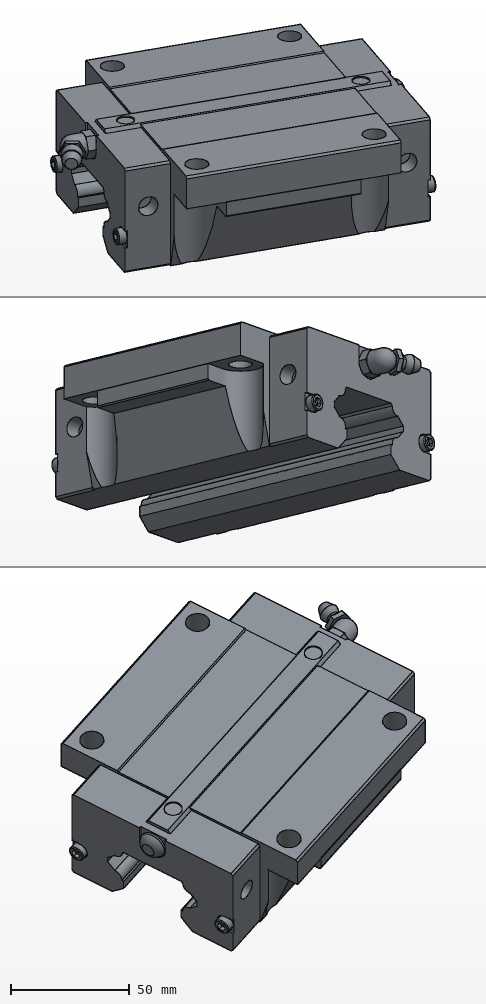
import cadquery as cq
import math


width = 120.0
height = 50.5
block_length = 96.7
cap_length = 128.9
seal_length = 137.5
cap_width = 81.7
cap_height = 48.9

flange_bottom = 35.5
pad_bottom = 28.2
pad_inset = 0.3
pad_edge_chamfer = 0.6
skirt_top_width = 97.2
skirt_bottom_width = 82.0
edge_chamfer = 1.0
bolt_spacing_x = 100.0
bolt_spacing_y = 80.0
bolt_hole_diameter = 10.1
bolt_relief_radius = 9.6

trough_depth = 0.5
trough_half_width = 31.5
trough_slope_run = 0.6
ridge_top_width = 9.8
ridge_base_width = 12.3

channel_top = 28.2
channel_roof_half_width = 14.7
land_half_width = 15.5
land_radius = 3.6
track_mid_height = 18.8
track_center_offset = 8.4
groove_half_width = 22.7
groove_wall_half_height = 1.3
lip_half_width = 14.5
lip_top = 10.0
lip_bottom = 5.5
mouth_half_width = 20.3

plug_diameter = 7.5
plug_depth = 0.6
plug_offset = 53.0
side_hole_diameter = 8.7
side_hole_depth = 7.9
side_hole_offset = 58.4
side_hole_height = 29.7

screw_offset = 36.9
screw_height = 15.8
screw_diameter = 7.1
screw_end = 71.6
screw_edge_chamfer = 0.5
socket_across_corners = 4.1
socket_depth = 1.9
screw_notch_radius = 4.0
notch_depth = 1.0

port_height = 42.0
port_notch_radius = 6.5
fitting_hex_across_flats = 10.5
fitting_hex_end = 72.0
elbow_radius = 5.4
elbow_center = 77.0
nipple_angle = 22.5
collar_start = 4.3
collar_end = 6.6
collar_across_corners = 11.4
stem_radius = 3.5
shoulder_radius = 4.5
neck_position = 9.1
neck_radius = 3.0
ball_position = 12.3
ball_radius = 4.3
tip_position = 16.2
tip_radius = 2.7
dome_base_radius = 6.2
dome_tip_radius = 3.0
dome_end = 72.0
dome_mid_radius = 5.0
dome_mid_fraction = 0.6

block_end = block_length / 2
seal_face = seal_length / 2
notch_floor = seal_face - notch_depth
half_width = width / 2
hex_corner_ratio = 2 / math.sqrt(3)


def extrude_along_y(profile, length):
    """Extrude an XZ outline by a length centered on Y = 0."""
    return profile.extrude(length / 2, both=True)


def rod_along_y(radius, y_start, y_end, x, z):
    """Cylinder parallel to Y."""
    return cq.Workplane(cq.Solid.makeCylinder(
        radius, y_end - y_start, cq.Vector(x, y_start, z), cq.Vector(0, 1, 0)))


def hex_along_y(across_corners, y_start, y_end, x, z):
    """Hexagonal prism parallel to Y with two corners pointing along X."""
    return (
        cq.Workplane("XZ", origin=(x, y_start, z))
        .polygon(6, across_corners)
        .extrude(y_start - y_end)
    )


def make_block():
    """Flange, tapered skirt and mounting pads, with bolt holes and reliefs."""
    flange = (
        cq.Workplane("XY", origin=(0, 0, flange_bottom))
        .rect(width, block_length)
        .extrude(height - flange_bottom)
        .edges("|Y and >Z")
        .chamfer(edge_chamfer)
    )
    pads = (
        cq.Workplane("XY", origin=(0, 0, pad_bottom))
        .rect(width - 2 * pad_inset, block_length)
        .extrude(flange_bottom - pad_bottom)
        .edges("|Y and <Z")
        .chamfer(pad_edge_chamfer)
    )
    skirt = extrude_along_y(
        cq.Workplane("XZ").polyline([
            (-skirt_bottom_width / 2, 0),
            (skirt_bottom_width / 2, 0),
            (skirt_top_width / 2, pad_bottom),
            (-skirt_top_width / 2, pad_bottom),
        ]).close(),
        block_length,
    )
    block = pads.union(skirt)
    for side in (-1, 1):
        for end in (-1, 1):
            x = side * bolt_spacing_x / 2
            y = end * bolt_spacing_y / 2
            relief = cq.Workplane().center(x, y).circle(bolt_relief_radius).extrude(flange_bottom)
            outlet = (
                cq.Workplane()
                .center(x + side * half_width / 2, y)
                .rect(half_width, 2 * bolt_relief_radius)
                .extrude(flange_bottom)
            )
            block = block.cut(relief).cut(outlet)
    bolt_holes = (
        cq.Workplane()
        .rect(bolt_spacing_x, bolt_spacing_y, forConstruction=True)
        .vertices()
        .circle(bolt_hole_diameter / 2)
        .extrude(height)
    )
    trough_floor = height - trough_depth
    trough = extrude_along_y(
        cq.Workplane("XZ").polyline([
            (-trough_half_width, height),
            (-trough_half_width + trough_slope_run, trough_floor),
            (trough_half_width - trough_slope_run, trough_floor),
            (trough_half_width, height),
        ]).close(),
        block_length,
    )
    return block.union(flange).cut(bolt_holes).cut(trough)


def make_end_plates():
    """End cap and seal stacked into one plate at each end of the block."""
    plate_thickness = seal_face - block_end
    plate = (
        cq.Workplane("XY", origin=(0, -block_end - plate_thickness / 2, 0))
        .rect(cap_width, plate_thickness)
        .extrude(cap_height)
        .edges("|Y")
        .chamfer(edge_chamfer)
    )
    return plate.union(plate.mirror("XZ"))


def make_ridge():
    """Central ridge along the top of the block and both end caps."""
    ridge_base = cap_height - edge_chamfer
    return extrude_along_y(
        cq.Workplane("XZ").polyline([
            (-ridge_base_width / 2, ridge_base),
            (-ridge_base_width / 2, cap_height),
            (-ridge_top_width / 2, height),
            (ridge_top_width / 2, height),
            (ridge_base_width / 2, cap_height),
            (ridge_base_width / 2, ridge_base),
        ]).close(),
        cap_length,
    )


def make_channel():
    """Rail opening: one half outline with two rounded lands, mirrored across X = 0."""
    land_x = land_half_width + land_radius
    diagonal = land_radius * math.sqrt(0.5)
    upper_z = track_mid_height + track_center_offset
    lower_z = track_mid_height - track_center_offset
    half = (
        cq.Workplane("XZ")
        .moveTo(0, channel_top)
        .lineTo(channel_roof_half_width, channel_top)
        .lineTo(land_half_width, upper_z)
        .threePointArc((land_x - diagonal, upper_z - diagonal), (land_x, upper_z - land_radius))
        .lineTo(groove_half_width, track_mid_height + groove_wall_half_height)
        .lineTo(groove_half_width, track_mid_height - groove_wall_half_height)
        .lineTo(land_x, lower_z + land_radius)
        .threePointArc((land_x - diagonal, lower_z + diagonal), (land_half_width, lower_z))
        .lineTo(land_half_width, lip_top)
        .lineTo(lip_half_width, lip_top)
        .lineTo(lip_half_width, lip_bottom)
        .lineTo(mouth_half_width, 0)
        .lineTo(0, 0)
        .close()
    )
    half = extrude_along_y(half, seal_length)
    return half.union(half.mirror("YZ"))


def cut_cap_openings(body):
    """Plug recesses on top of the caps and blind holes in their sides."""
    for end in (-1, 1):
        plug = (
            cq.Workplane("XY", origin=(0, end * plug_offset, height))
            .circle(plug_diameter / 2)
            .extrude(-plug_depth)
        )
        body = body.cut(plug)
        for side in (-1, 1):
            hole = (
                cq.Workplane("YZ", origin=(side * cap_width / 2, end * side_hole_offset, side_hole_height))
                .circle(side_hole_diameter / 2)
                .extrude(-side * side_hole_depth)
            )
            body = body.cut(hole)
    return body


def slot_from(radius, x, z, direction, reach):
    """Round-ended notch in the -Y seal face, opening along an XZ direction."""
    notch = rod_along_y(radius, -seal_face, -notch_floor, x, z)
    dx, dz = direction
    length_x = reach if dx else 2 * radius
    length_z = reach if dz else 2 * radius
    opening = (
        cq.Workplane("XZ", origin=(x + dx * reach / 2, -seal_face, z + dz * reach / 2))
        .rect(length_x, length_z)
        .extrude(-notch_depth)
    )
    return notch.union(opening)


def cut_seal_notches(body):
    """Notches for the screws and the grease port, alike in both seals."""
    notches = slot_from(port_notch_radius, 0, port_height, (0, 1), cap_height - port_height)
    for side in (-1, 1):
        notches = notches.union(slot_from(
            screw_notch_radius, side * screw_offset, screw_height,
            (side, 0), cap_width / 2 - screw_offset))
    return body.cut(notches).cut(notches.mirror("XZ"))


def make_screws():
    """Four socket-head screws holding the seals."""
    screws = cq.Workplane()
    for side in (-1, 1):
        x = side * screw_offset
        head = (
            rod_along_y(screw_diameter / 2, -screw_end, -notch_floor, x, screw_height)
            .faces("<Y").edges().chamfer(screw_edge_chamfer)
        )
        socket = hex_along_y(
            socket_across_corners, -screw_end, -screw_end + socket_depth, x, screw_height)
        head = head.cut(socket)
        screws = screws.add(head).add(head.mirror("XZ"))
    return screws.combine()


def make_nipple():
    """Hex collar and ball-ended nipple built along +X, then turned toward -Y."""
    ball_flank_position = (neck_position + ball_position) / 2
    ball_flank_radius = ball_radius - (ball_radius - neck_radius) / 4
    stem = (
        cq.Workplane("XY")
        .moveTo(0, 0)
        .lineTo(0, stem_radius)
        .lineTo(collar_start, stem_radius)
        .lineTo(collar_end, shoulder_radius)
        .lineTo(neck_position, neck_radius)
        .threePointArc((ball_flank_position, ball_flank_radius), (ball_position, ball_radius))
        .lineTo(tip_position, tip_radius)
        .lineTo(tip_position, 0)
        .close()
        .revolve(360, (0, 0, 0), (1, 0, 0))
    )
    collar = (
        cq.Workplane("YZ", origin=(collar_start, 0, 0))
        .polygon(6, collar_across_corners)
        .extrude(collar_end - collar_start)
    )
    return (
        stem.union(collar)
        .rotate((0, 0, 0), (0, 0, 1), -nipple_angle)
        .translate((0, -elbow_center, port_height))
    )


def make_grease_fitting():
    """Hex base and round elbow on the -Y end, carrying the nipple."""
    base = hex_along_y(
        fitting_hex_across_flats * hex_corner_ratio, -fitting_hex_end, -notch_floor, 0, port_height)
    neck = rod_along_y(elbow_radius, -elbow_center, -fitting_hex_end, 0, port_height)
    elbow = cq.Workplane(origin=(0, -elbow_center, port_height)).sphere(elbow_radius)
    return base.union(neck).union(elbow).union(make_nipple())


def make_rear_plug():
    """Domed plug with a flat tip closing the port on the +Y end."""
    mid_y = seal_face + dome_mid_fraction * (dome_end - seal_face)
    return (
        cq.Workplane("XY")
        .moveTo(0, notch_floor)
        .lineTo(dome_base_radius, notch_floor)
        .lineTo(dome_base_radius, seal_face)
        .threePointArc((dome_mid_radius, mid_y), (dome_tip_radius, dome_end))
        .lineTo(0, dome_end)
        .close()
        .revolve(360, (0, 0, 0), (0, 1, 0))
        .translate((0, 0, port_height))
    )


carriage = make_block().union(make_end_plates()).union(make_ridge())
carriage = carriage.cut(make_channel())
carriage = cut_cap_openings(carriage)
carriage = cut_seal_notches(carriage)
carriage = carriage.union(make_screws()).union(make_grease_fitting())
result = carriage.union(make_rear_plug())